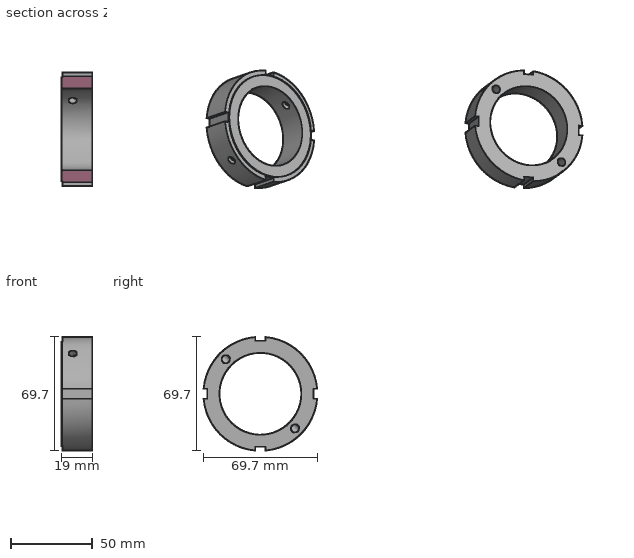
import cadquery as cq

outer_diameter = 70.0
bore_diameter = 50.0
total_width = 19.0

face_diameter = 64.0
face_height = 0.6

slot_count = 4
slot_width = 6.0
slot_floor_radius = 32.6

hole_diameter = 5.0
hole_x = 7.0
hole_angles = (45, 225)

axial_hole_diameter = 4.95
axial_hole_radius = (outer_diameter + bore_diameter) / 4


def make_ring():
    face = cq.Workplane("YZ").circle(face_diameter / 2).extrude(total_width)
    body = (
        cq.Workplane("YZ", origin=(face_height, 0, 0))
        .circle(outer_diameter / 2)
        .extrude(total_width - face_height)
    )
    bore = cq.Workplane("YZ").circle(bore_diameter / 2).extrude(total_width)
    return body.union(face).cut(bore)


def make_slot(angle):
    slot = cq.Workplane("XY").box(
        total_width, slot_width, outer_diameter / 2, centered=(False, True, False)
    )
    return slot.translate((0, 0, slot_floor_radius)).rotate((0, 0, 0), (1, 0, 0), angle)


def make_radial_hole(angle):
    hole = (
        cq.Workplane("XY")
        .center(hole_x, 0)
        .circle(hole_diameter / 2)
        .extrude(outer_diameter)
    )
    return hole.rotate((0, 0, 0), (1, 0, 0), angle)


def make_axial_hole(angle):
    hole = (
        cq.Workplane("YZ", origin=(hole_x, 0, 0))
        .center(0, axial_hole_radius)
        .circle(axial_hole_diameter / 2)
        .extrude(total_width - hole_x)
    )
    return hole.rotate((0, 0, 0), (1, 0, 0), angle)


result = make_ring()
for index in range(slot_count):
    result = result.cut(make_slot(index * 360 / slot_count))
for hole_angle in hole_angles:
    result = result.cut(make_radial_hole(hole_angle))
    result = result.cut(make_axial_hole(hole_angle))